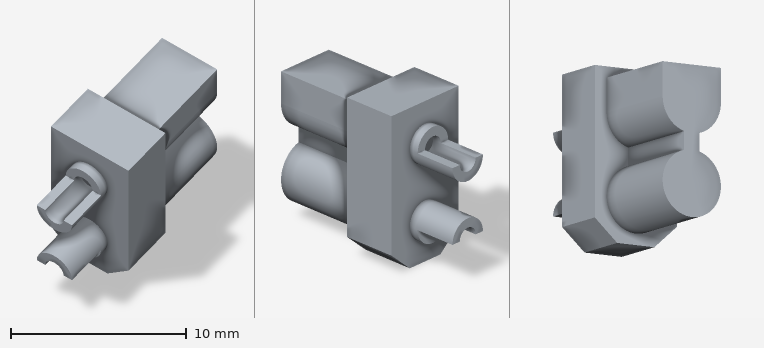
import cadquery as cq

plate_width = 5.5
plate_height = 10.15
plate_thickness = 3.5
plate_top = plate_height / 2
corner_cut_width = 1.5
corner_cut_height = 1.32

contact_diameter = 2.5
bore_diameter = 1.3
contact_length = 3.37
collar_length = 0.62
contact_spacing = 4.85
upper_contact_z = plate_top - 2.67
lower_contact_z = upper_contact_z - contact_spacing

total_length = 12.86
plug_length = total_length - plate_thickness - contact_length
plug_width = 3.91
plug_top = plate_top - 0.65
web_width = 1.03


def disc(diameter, length, z, start_y):
    """Cylinder along +Y from start_y, centred on X = 0 at height z."""
    axis_start = cq.Vector(0, start_y, z)
    return cq.Workplane(cq.Solid.makeCylinder(diameter / 2, length, axis_start, cq.Vector(0, 1, 0)))


def block(width, length, bottom, top, start_y):
    """Box centred on X = 0, running along +Y from start_y."""
    return (
        cq.Workplane()
        .box(width, length, top - bottom, centered=(True, False, False))
        .translate((0, start_y, bottom))
    )


def make_plate():
    """Upright plate with both lower corners cut off."""
    half_width = plate_width / 2
    half_foot = half_width - corner_cut_width
    cut_top = -plate_top + corner_cut_height
    outline = [
        (-half_width, plate_top),
        (half_width, plate_top),
        (half_width, cut_top),
        (half_foot, -plate_top),
        (-half_foot, -plate_top),
        (-half_width, cut_top),
    ]
    return cq.Workplane("XZ").polyline(outline).close().extrude(-plate_thickness)


def make_plug():
    """Square-topped upper lobe and round lower lobe, joined by a narrow web."""
    upper_lobe = disc(plug_width, plug_length, upper_contact_z, plate_thickness)
    square_top = block(plug_width, plug_length, upper_contact_z, plug_top, plate_thickness)
    lower_lobe = disc(plug_width, plug_length, lower_contact_z, plate_thickness)
    web = block(web_width, plug_length, lower_contact_z, upper_contact_z, plate_thickness)
    return upper_lobe.union(square_top).union(lower_lobe).union(web)


def make_housing():
    return make_plate().union(make_plug())


def make_contact(z, open_side):
    """Solder cup bored right through to the plate; open_side is +1 to open upward, -1 downward."""
    cup = disc(contact_diameter, contact_length, z, -contact_length)
    bore = disc(bore_diameter, contact_length, z, -contact_length)
    cutaway_bottom, cutaway_top = sorted((z, z + open_side * contact_diameter))
    cutaway_length = contact_length - collar_length
    cutaway = block(contact_diameter, cutaway_length, cutaway_bottom, cutaway_top, -contact_length)
    return cup.cut(bore).cut(cutaway)


housing = make_housing()

contacts = []
for contact_z, open_side in ((upper_contact_z, 1), (lower_contact_z, -1)):
    contacts.append(make_contact(contact_z, open_side).val())

result = cq.Compound.makeCompound([housing.val(), *contacts])